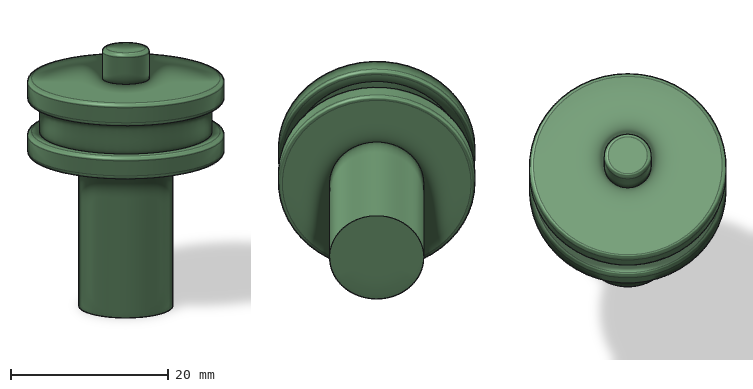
import cadquery as cq

total_height = 34.0
flange_diameter = 25.03
flange_thickness = 3.0
neck_diameter = 22.0
neck_height = 4.0
shaft_diameter = 12.0
pin_diameter = 6.0
pin_height = 4.0
edge_radius = 0.5

pin_base = total_height - pin_height
upper_flange_base = pin_base - flange_thickness
neck_base = upper_flange_base - neck_height
shaft_length = neck_base - flange_thickness


def cylinder(diameter, base, height):
    """Upright cylinder on the Z axis."""
    return cq.Workplane("XY").workplane(offset=base).circle(diameter / 2).extrude(height)


def flange(base):
    """Disc with both rims rounded."""
    return cylinder(flange_diameter, base, flange_thickness).edges().fillet(edge_radius)


shaft = cylinder(shaft_diameter, 0, shaft_length)
lower_flange = flange(shaft_length)
neck = cylinder(neck_diameter, neck_base, neck_height)
upper_flange = flange(upper_flange_base)
pin = cylinder(pin_diameter, pin_base, pin_height).faces(">Z").edges().fillet(edge_radius)

result = shaft.union(lower_flange).union(neck).union(upper_flange).union(pin)